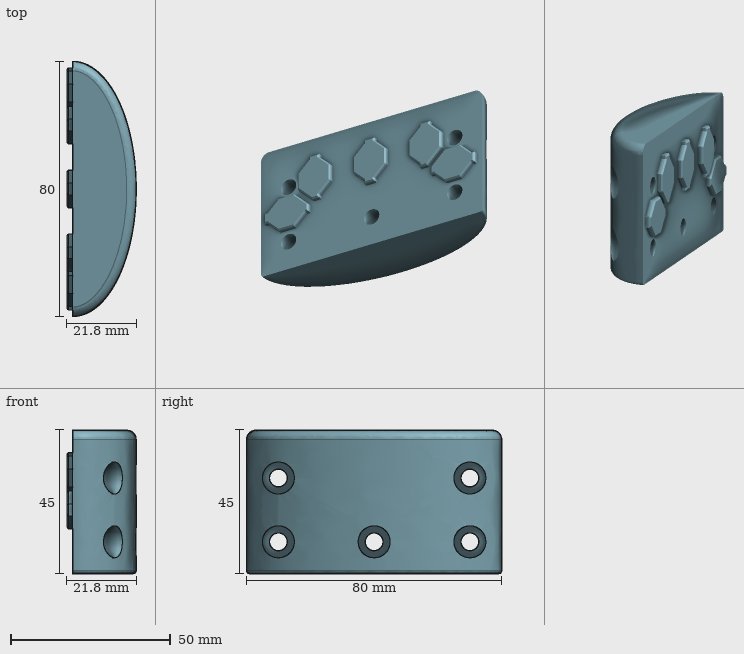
import cadquery as cq
import math

body_width = 80.0
body_depth = 20.0
body_height = 45.0
top_fillet = 3.0
bottom_fillet = 1.0

hole_diameter = 5.5
counterbore_diameter = 10.0
counterbore_floor = 5.0
hole_pitch_y = 30.0
lower_hole_z = 10.0
upper_hole_z = 30.0
hole_positions = [
    (-hole_pitch_y, lower_hole_z),
    (0.0, lower_hole_z),
    (hole_pitch_y, lower_hole_z),
    (-hole_pitch_y, upper_hole_z),
    (hole_pitch_y, upper_hole_z),
]

pad_thickness = 1.75
pad_chamfer = 0.5
pad_width = 11.8
pad_length = 15.9
pad_diamond_side = 12.35
pad_tab_width = 3.7
upper_pad_y = 20.0
upper_pad_z = 30.0
lower_pad_y = 30.0
lower_pad_z = 20.0


def make_body():
    half_width = body_width / 2
    profile = (
        cq.Workplane("XY")
        .moveTo(0, -half_width)
        .ellipseArc(body_depth, half_width, -90, 90, startAtCurrent=True)
        .close()
    )
    block = profile.extrude(body_height)
    block = block.faces(">Z").edges("not(<X)").fillet(top_fillet)
    return block.faces("<Z").edges("not(<X)").fillet(bottom_fillet)


def cut_along_x(body, diameter, start_x):
    """Cut round holes at every hole position, from start_x out through the curved side."""
    cutters = (
        cq.Workplane("YZ", origin=(start_x, 0, 0))
        .pushPoints(hole_positions)
        .circle(diameter / 2)
        .extrude(body_depth)
    )
    return body.cut(cutters)


def make_pad(center_y, center_z, turned=False, trim_side=0):
    """Pad with its long axis along Z, or along Y when turned.

    A nonzero trim_side (+1 or -1) trims the tab flush with one flat of the diamond, on the
    side facing the neighbouring pad, which lies towards the given Y direction: below an
    upright pad and above a turned one.
    """
    diamond = cq.Workplane("YZ").rect(pad_diamond_side, pad_diamond_side).extrude(-pad_thickness)
    diamond = diamond.rotate((0, 0, 0), (1, 0, 0), 45)
    core = cq.Workplane("YZ").rect(pad_width, pad_length).extrude(-pad_thickness)
    tabs = cq.Workplane("YZ").rect(pad_tab_width, pad_length).extrude(-pad_thickness)
    pad = diamond.intersect(core).union(tabs)
    if turned:
        pad = pad.rotate((0, 0, 0), (1, 0, 0), 90)
    if trim_side:
        pad = pad.intersect(make_trim_block(trim_side, above=turned))
    pad = pad.faces("<X").edges().chamfer(pad_chamfer)
    return pad.translate((0, center_y, center_z))


def make_trim_block(trim_side, above):
    """Block that keeps everything on the inner side of one 45 degree flat of the diamond."""
    block_size = 2 * pad_length
    block_shift = (pad_diamond_side - block_size) / 2
    z_side = 1 if above else -1
    block_angle = math.degrees(math.atan2(z_side, trim_side))
    block = (
        cq.Workplane("YZ")
        .center(block_shift, 0)
        .rect(block_size, block_size)
        .extrude(-pad_thickness)
    )
    return block.rotate((0, 0, 0), (1, 0, 0), block_angle)


result = make_body()
result = cut_along_x(result, hole_diameter, 0)
result = cut_along_x(result, counterbore_diameter, counterbore_floor)

result = result.union(make_pad(0, upper_pad_z))
for side in (-1, 1):
    result = result.union(make_pad(side * upper_pad_y, upper_pad_z, trim_side=side))
    result = result.union(make_pad(side * lower_pad_y, lower_pad_z, turned=True, trim_side=-side))